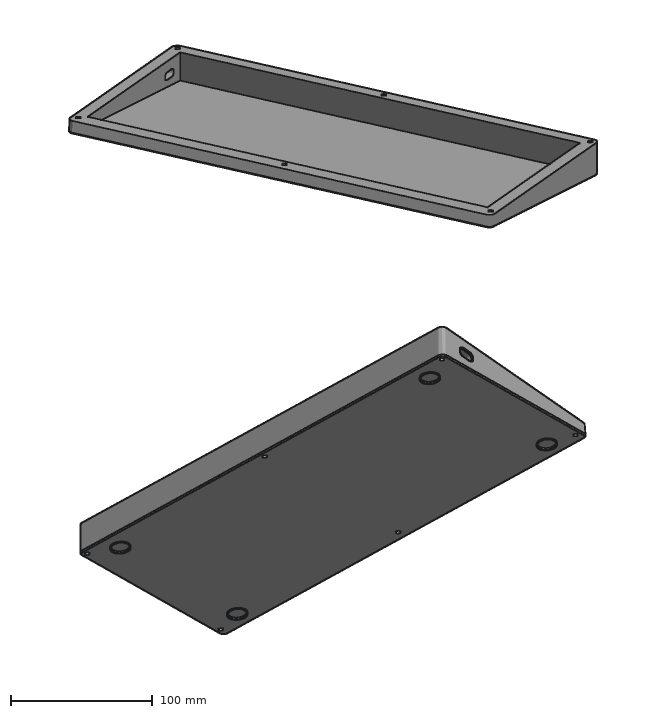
import cadquery as cq
import math

LENGTH = 345.0
TOP_DEPTH = 153.8
FRONT_HEIGHT = 9.5
TILT = 6.0
CORNER_RADIUS = 4.5
BOTTOM_CHAMFER = 1.0

SIDE_WALL = 10.0
BACK_WALL = 10.5
FRONT_WALL = 11.7
FLOOR_THICKNESS = 3.0

SCREW_DIAMETER = 3.4
SCREW_INSET = 5.0
SCREW_ROW_SPACING = 141.7

SLOT_HEIGHT = 6.0
SLOT_LENGTH = 12.5
MOUTH_BORDER = 1.0
MOUTH_DEPTH = 1.0
SLOT_BACK_INSET = 25.5
SLOT_DROP = 11.5

RING_DIAMETER = 15.0
RING_HEIGHT = 0.7
BORE_DIAMETER = 13.5
BORE_DEPTH = 1.7
FOOT_SIDE_INSET = 26.2
FOOT_BACK_INSET = 16.0
FOOT_ROW_SPACING = 124.0

SLOPE = math.tan(math.radians(TILT))
FRONT_TOP = -TOP_DEPTH
FRONT_BOTTOM = FRONT_TOP - FRONT_HEIGHT * SLOPE
LEFT = -LENGTH / 2


def underside(y):
    """Height of the sloping underside at depth position y."""
    return -FRONT_HEIGHT - (y - FRONT_BOTTOM) * SLOPE


def make_body():
    profile = [
        (FRONT_TOP, 0),
        (FRONT_BOTTOM, underside(FRONT_BOTTOM)),
        (0, underside(0)),
        (0, 0),
    ]
    wedge = cq.Workplane("YZ").polyline(profile).close().extrude(LENGTH / 2, both=True)
    wedge = wedge.faces("<Y or >Y").edges("not |X").fillet(CORNER_RADIUS)
    return wedge.faces("<Z").chamfer(BOTTOM_CHAMFER)


def make_cavity():
    front = FRONT_TOP + FRONT_WALL
    back = -BACK_WALL
    rise = FLOOR_THICKNESS / math.cos(math.radians(TILT))
    profile = [
        (front, 0),
        (front, underside(front) + rise),
        (back, underside(back) + rise),
        (back, 0),
    ]
    return cq.Workplane("YZ").polyline(profile).close().extrude(LENGTH / 2 - SIDE_WALL, both=True)


def make_screw_holes():
    back_row = -SCREW_INSET
    side = LENGTH / 2 - SCREW_INSET
    points = [(x, y) for x in (-side, 0, side) for y in (back_row, back_row - SCREW_ROW_SPACING)]
    full_height = underside(0)
    return cq.Workplane("XY").pushPoints(points).circle(SCREW_DIAMETER / 2).extrude(full_height)


def make_slot():
    wall = cq.Workplane("YZ", origin=(LEFT, -SLOT_BACK_INSET, -SLOT_DROP))
    opening = wall.slot2D(SLOT_LENGTH, SLOT_HEIGHT).extrude(SIDE_WALL)
    mouth_length = SLOT_LENGTH + 2 * MOUTH_BORDER
    mouth_height = SLOT_HEIGHT + 2 * MOUTH_BORDER
    mouth = wall.slot2D(mouth_length, mouth_height).extrude(MOUTH_DEPTH)
    return opening.union(mouth)


def add_foot_socket(part, x, y):
    """Raise a ring square to the underside at (x, y) and bore it down into the floor."""
    outward = cq.Vector(0, -SLOPE, -1)
    underside_plane = cq.Plane(origin=(x, y, underside(y)), xDir=(1, 0, 0), normal=outward)
    ring = cq.Workplane(underside_plane).circle(RING_DIAMETER / 2).extrude(RING_HEIGHT)
    rim = cq.Workplane(underside_plane).workplane(offset=RING_HEIGHT)
    bore = rim.circle(BORE_DIAMETER / 2).extrude(-BORE_DEPTH)
    return part.union(ring).cut(bore)


result = make_body().cut(make_cavity()).cut(make_screw_holes()).cut(make_slot())

foot_side = LENGTH / 2 - FOOT_SIDE_INSET
for foot_x in (-foot_side, foot_side):
    for foot_y in (-FOOT_BACK_INSET, -FOOT_BACK_INSET - FOOT_ROW_SPACING):
        result = add_foot_socket(result, foot_x, foot_y)